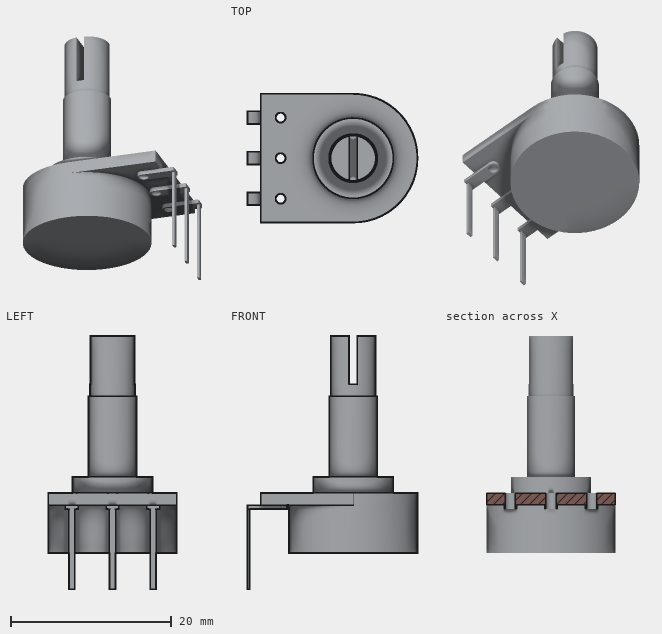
import cadquery as cq


body_diameter = 16.0
body_height = 6.0
plate_thickness = 1.5
plate_reach = 11.5

collar_diameter = 10.0
collar_height = 2.0
shaft_diameter = 6.0
shaft_length = 10.02
tip_diameter = 5.6
tip_length = 7.5
slot_width = 1.0
slot_depth = 6.0

terminal_pitch = 5.05
terminal_reach = 13.15
pad_width = 1.6
pad_thickness = 0.5
hole_diameter = 1.2
hole_reach = 9.0
pin_width = 0.75
pin_thickness = 0.3
pin_drop = 10.5

collar_base = plate_thickness
shaft_base = collar_base + collar_height
tip_base = shaft_base + shaft_length
tip_top = tip_base + tip_length
terminal_places = [(-hole_reach, row * terminal_pitch) for row in (-1, 0, 1)]


def cylinder(diameter, base, height):
    return cq.Workplane("XY").workplane(offset=base).circle(diameter / 2).extrude(height)


def make_plate():
    """Straight-edged on the terminal side, rounded around the shaft axis."""
    radius = body_diameter / 2
    return (
        cq.Workplane("XY")
        .moveTo(-plate_reach, -radius)
        .lineTo(0, -radius)
        .threePointArc((radius, 0), (0, radius))
        .lineTo(-plate_reach, radius)
        .close()
        .extrude(plate_thickness)
    )


def make_shaft():
    """Stepped shaft with a screwdriver slot across its tip."""
    shaft = cylinder(shaft_diameter, shaft_base, shaft_length)
    tip = cylinder(tip_diameter, tip_base, tip_length)
    slot = (
        cq.Workplane("XY")
        .workplane(offset=tip_top - slot_depth)
        .rect(slot_width, tip_diameter)
        .extrude(slot_depth)
    )
    return shaft.union(tip.cut(slot))


def make_terminal(y):
    """Flat pad, rounded around its hole, with a pin bent down at the outer end."""
    pad = (
        cq.Workplane("XY")
        .moveTo(-terminal_reach, y - pad_width / 2)
        .lineTo(-hole_reach, y - pad_width / 2)
        .threePointArc((-hole_reach + pad_width / 2, y), (-hole_reach, y + pad_width / 2))
        .lineTo(-terminal_reach, y + pad_width / 2)
        .close()
        .extrude(-pad_thickness)
    )
    pin = (
        cq.Workplane("XY")
        .center(-terminal_reach + pin_thickness / 2, y)
        .rect(pin_thickness, pin_width)
        .extrude(-pin_drop)
    )
    return pad.union(pin)


part = make_plate()
part = part.union(cylinder(body_diameter, -body_height, body_height))
part = part.union(cylinder(collar_diameter, collar_base, collar_height))
part = part.union(make_shaft())
for _, terminal_y in terminal_places:
    part = part.union(make_terminal(terminal_y))

holes = (
    cq.Workplane("XY")
    .workplane(offset=-pad_thickness)
    .pushPoints(terminal_places)
    .circle(hole_diameter / 2)
    .extrude(pad_thickness + plate_thickness)
)

result = part.cut(holes)